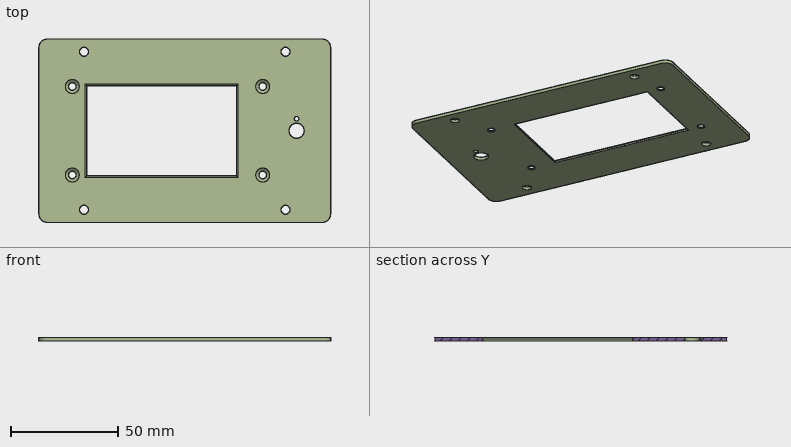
import cadquery as cq

LENGTH = 136.0
WIDTH = 85.5
THICKNESS = 1.6
CORNER_RADIUS = 4.1

WINDOW_LENGTH = 69.6
WINDOW_WIDTH = 41.9
WINDOW_CHAMFER = 0.8
WINDOW_X = -10.7
WINDOW_Y = 0.0

MOUNT_DIAMETER = 4.1
MOUNT_SPACING_X = 93.8
MOUNT_SPACING_Y = 73.6

SCREW_DIAMETER = 3.4
HEAD_DIAMETER = 6.5
HEAD_ANGLE = 100.0
SCREW_SPACING_X = 88.7
SCREW_SPACING_Y = 41.2
SCREW_CENTER_X = -8.0

SHAFT_DIAMETER = 7.0
SHAFT_X = 52.1
LOCATOR_DIAMETER = 2.0
LOCATOR_OFFSET_Y = 5.6


def make_plate():
    plate = cq.Workplane("XY").box(LENGTH, WIDTH, THICKNESS, centered=(True, True, False))
    return plate.edges("|Z").fillet(CORNER_RADIUS)


def cut_window(plate):
    opening = (
        cq.Workplane("XY")
        .center(WINDOW_X, WINDOW_Y)
        .rect(WINDOW_LENGTH, WINDOW_WIDTH)
        .extrude(THICKNESS)
    )
    bevel = (
        cq.Workplane("XY", origin=(WINDOW_X, WINDOW_Y, THICKNESS - WINDOW_CHAMFER))
        .rect(WINDOW_LENGTH, WINDOW_WIDTH)
        .workplane(offset=WINDOW_CHAMFER)
        .rect(WINDOW_LENGTH + 2 * WINDOW_CHAMFER, WINDOW_WIDTH + 2 * WINDOW_CHAMFER)
        .loft(ruled=True)
    )
    return plate.cut(opening).cut(bevel)


def cut_mount_holes(plate):
    return (
        plate.faces(">Z").workplane(origin=(0, 0, THICKNESS))
        .rarray(MOUNT_SPACING_X, MOUNT_SPACING_Y, 2, 2)
        .hole(MOUNT_DIAMETER)
    )


def cut_screw_holes(plate):
    return (
        plate.faces(">Z").workplane(origin=(SCREW_CENTER_X, 0, THICKNESS))
        .rarray(SCREW_SPACING_X, SCREW_SPACING_Y, 2, 2)
        .cskHole(SCREW_DIAMETER, HEAD_DIAMETER, HEAD_ANGLE)
    )


def cut_control_holes(plate):
    top = plate.faces(">Z").workplane(origin=(SHAFT_X, 0, THICKNESS))
    plate = top.hole(SHAFT_DIAMETER)
    top = plate.faces(">Z").workplane(origin=(SHAFT_X, LOCATOR_OFFSET_Y, THICKNESS))
    return top.hole(LOCATOR_DIAMETER)


result = make_plate()
result = cut_window(result)
result = cut_mount_holes(result)
result = cut_screw_holes(result)
result = cut_control_holes(result)